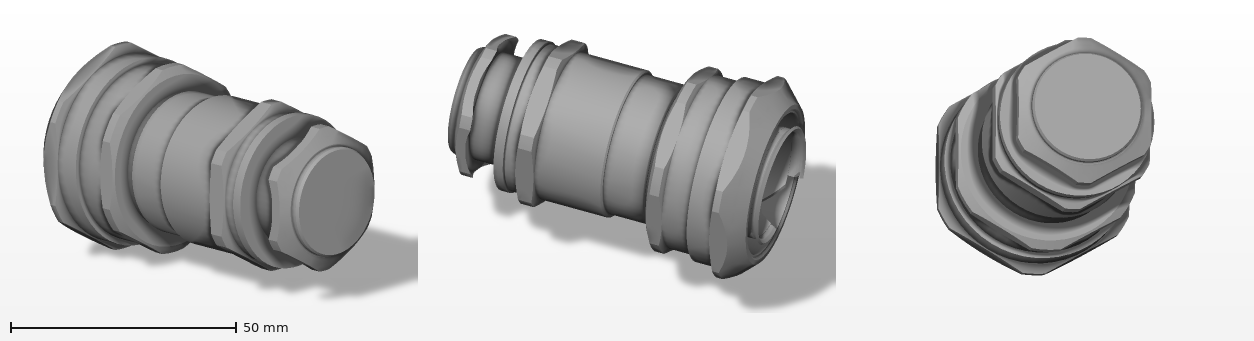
import cadquery as cq
import math


MOUTH_X = 2.4
MOUTH_RADIUS = 18.4
SEAL_NUT_FLATS = 43.0
SEAL_NUT_ACROSS_CORNERS = 47.0
SEAL_NUT_CORNER_RADIUS = SEAL_NUT_ACROSS_CORNERS / 2
SEAL_NUT_CORNER_START = 7.65
SEAL_NUT_CORNER_END = 9.2
SEAL_NUT_BACK = 9.9
SEAL_NUT_BACK_RADIUS = SEAL_NUT_FLATS / 2
COLLAR_RADIUS = 21.3
COLLAR_END = 15.4

SLEEVE_RADIUS = 20.0
SLEEVE_NUT_FLATS = 2 * SLEEVE_RADIUS
SLEEVE_NUT_CORNER_RADIUS = 21.4
SLEEVE_NUT_FRONT = 21.7
SLEEVE_NUT_CORNER_START = 22.5
SLEEVE_NUT_CORNER_END = 24.7
SLEEVE_NUT_BACK = 25.8
SLEEVE_NUT_BACK_RADIUS = 19.5

NECK_RADIUS = 15.45
FRONT_BARREL_START = 27.4
FRONT_BARREL_RADIUS = 16.05
REAR_BARREL_START = 37.2
REAR_BARREL_RADIUS = 16.95
BARREL_CHAMFER = 0.4

BARREL_NUT_FLATS = 34.8
BARREL_NUT_CORNER_RADIUS = 19.2
BARREL_NUT_FRONT = 53.15
BARREL_NUT_CORNER_START = 53.75
BARREL_NUT_CORNER_END = 56.9
BARREL_NUT_BACK = 57.8

FLANGE_START = 60.6
FLANGE_END = 62.8
FLANGE_RADIUS = 17.4
SPIGOT_RADIUS = 12.35
SPIGOT_CHAMFER_LENGTH = 0.7
SPIGOT_CHAMFER_DEPTH = 0.4
OVERALL_LENGTH = 75.7

LOCKNUT_FLATS = 30.0
LOCKNUT_CORNER_RADIUS = 16.5
LOCKNUT_CORNER_START = 69.2
LOCKNUT_CORNER_END = 71.85
LOCKNUT_BACK = 73.9
LOCKNUT_BACK_RADIUS = 12.8
LOCKNUT_RECESS_FLOOR = 70.3
LOCKNUT_RECESS_RADIUS = 15.15

POCKET_RADIUS = 16.9
POCKET_CHAMFER = 0.45
POCKET_FLOOR = 15.15
CORE_END_X = 12.0

FERRULE_BORE_RADIUS = 12.2
FERRULE_WALL_RADIUS = 12.9
FERRULE_RIM_X = MOUTH_X + POCKET_CHAMFER
FERRULE_RIM_INNER_RADIUS = 16.4
FERRULE_WALL_START = 3.3
GROOVE_RADIUS = (FERRULE_RIM_INNER_RADIUS - FERRULE_WALL_RADIUS) / 2
GROOVE_BOTTOM = 14.15

LIP_RADIUS = 13.8
LIP_EDGE_STEP = 0.45
LIP_OUTER_BEND_DEPTH = 1.05
LIP_OUTER_BEND_RADIUS = 13.1
LIP_OUTER_THROAT_DEPTH = 1.45
LIP_INNER_FLARE = 0.6
LIP_INNER_BEND_DEPTH = 1.1
LIP_INNER_BEND_RADIUS = 12.4
LIP_INNER_THROAT_DEPTH = 1.7
LIP_SKIRT = 4.55
LIP_SETBACK = 0.1
LIP_TURN = 302.0
LIP_ADVANCE = 1.9
LIP_TIP_ANGLE = 305.0

NOTCH_POINTS = [(0.75, 0.7), (3.3, 0.45), (6.3, -1.7), (7.4, -4.8), (0.75, -11.2)]
NOTCH_TOP = -6.05


def turned(outline):
    """Solid of revolution about X from closed (station, radius) points."""
    return cq.Workplane("XY").polyline(outline).close().revolve(360, (0, 0, 0), (1, 0, 0))


def hexagon_of(blank, flats):
    """Turned blank cut to a hexagon whose corners point along +Z and -Z."""
    across_corners = flats / math.cos(math.pi / 6)
    prism = cq.Workplane("YZ").polygon(6, across_corners).extrude(OVERALL_LENGTH)
    return blank.intersect(prism.rotate((0, 0, 0), (1, 0, 0), 90))


def sealing_nut():
    return hexagon_of(turned([
        (MOUTH_X, 0),
        (MOUTH_X, MOUTH_RADIUS),
        (SEAL_NUT_CORNER_START, SEAL_NUT_CORNER_RADIUS),
        (SEAL_NUT_CORNER_END, SEAL_NUT_CORNER_RADIUS),
        (SEAL_NUT_BACK, SEAL_NUT_BACK_RADIUS),
        (SEAL_NUT_BACK, 0),
    ]), SEAL_NUT_FLATS)


def sleeve_nut():
    return hexagon_of(turned([
        (SLEEVE_NUT_FRONT, 0),
        (SLEEVE_NUT_FRONT, SLEEVE_RADIUS),
        (SLEEVE_NUT_CORNER_START, SLEEVE_NUT_CORNER_RADIUS),
        (SLEEVE_NUT_CORNER_END, SLEEVE_NUT_CORNER_RADIUS),
        (SLEEVE_NUT_BACK, SLEEVE_NUT_BACK_RADIUS),
        (SLEEVE_NUT_BACK, 0),
    ]), SLEEVE_NUT_FLATS)


def barrel_nut():
    return hexagon_of(turned([
        (BARREL_NUT_FRONT, 0),
        (BARREL_NUT_FRONT, REAR_BARREL_RADIUS),
        (BARREL_NUT_CORNER_START, BARREL_NUT_CORNER_RADIUS),
        (BARREL_NUT_CORNER_END, BARREL_NUT_CORNER_RADIUS),
        (BARREL_NUT_BACK, REAR_BARREL_RADIUS),
        (BARREL_NUT_BACK, 0),
    ]), BARREL_NUT_FLATS)


def locknut():
    """Hexagon with a shallow flat-floored recess in its -X side, opening out to the corners."""
    return hexagon_of(turned([
        (LOCKNUT_RECESS_FLOOR, 0),
        (LOCKNUT_RECESS_FLOOR, LOCKNUT_RECESS_RADIUS),
        (LOCKNUT_CORNER_START, LOCKNUT_CORNER_RADIUS),
        (LOCKNUT_CORNER_END, LOCKNUT_CORNER_RADIUS),
        (LOCKNUT_BACK, LOCKNUT_BACK_RADIUS),
        (LOCKNUT_BACK, 0),
    ]), LOCKNUT_FLATS)


def round_core():
    """Collar, sleeve, barrel, flange and spigot as one stepped shaft."""
    return turned([
        (SEAL_NUT_CORNER_END, 0),
        (SEAL_NUT_CORNER_END, COLLAR_RADIUS),
        (COLLAR_END, COLLAR_RADIUS),
        (COLLAR_END, SLEEVE_RADIUS),
        (SLEEVE_NUT_CORNER_START, SLEEVE_RADIUS),
        (SLEEVE_NUT_CORNER_START, NECK_RADIUS),
        (FRONT_BARREL_START, NECK_RADIUS),
        (FRONT_BARREL_START, FRONT_BARREL_RADIUS - BARREL_CHAMFER),
        (FRONT_BARREL_START + BARREL_CHAMFER, FRONT_BARREL_RADIUS),
        (REAR_BARREL_START, FRONT_BARREL_RADIUS),
        (REAR_BARREL_START, REAR_BARREL_RADIUS - BARREL_CHAMFER),
        (REAR_BARREL_START + BARREL_CHAMFER, REAR_BARREL_RADIUS),
        (FLANGE_START - BARREL_CHAMFER, REAR_BARREL_RADIUS),
        (FLANGE_START, REAR_BARREL_RADIUS - BARREL_CHAMFER),
        (FLANGE_START, FLANGE_RADIUS),
        (FLANGE_END, FLANGE_RADIUS),
        (FLANGE_END, SPIGOT_RADIUS),
        (OVERALL_LENGTH - SPIGOT_CHAMFER_LENGTH, SPIGOT_RADIUS),
        (OVERALL_LENGTH, SPIGOT_RADIUS - SPIGOT_CHAMFER_DEPTH),
        (OVERALL_LENGTH, 0),
    ])


def ferrule_pocket():
    """Chamfered blind pocket in the mouth, with a core left standing that plugs the ferrule bore."""
    return turned([
        (MOUTH_X, 0),
        (MOUTH_X, POCKET_RADIUS + POCKET_CHAMFER),
        (FERRULE_RIM_X, POCKET_RADIUS),
        (POCKET_FLOOR, POCKET_RADIUS),
        (POCKET_FLOOR, FERRULE_BORE_RADIUS),
        (CORE_END_X, FERRULE_BORE_RADIUS),
        (CORE_END_X, 0),
    ])


def make_gland():
    gland = round_core()
    for nut in (sealing_nut(), sleeve_nut(), barrel_nut(), locknut()):
        gland = gland.union(nut)
    return gland.cut(ferrule_pocket())


def ferrule_cup():
    """Straight ferrule wall and outer rim, with a round-bottomed groove between them."""
    groove_centre_x = GROOVE_BOTTOM - GROOVE_RADIUS
    groove_centre_radius = FERRULE_WALL_RADIUS + GROOVE_RADIUS
    return (
        cq.Workplane("XY")
        .moveTo(FERRULE_WALL_START, FERRULE_BORE_RADIUS)
        .lineTo(FERRULE_WALL_START, FERRULE_WALL_RADIUS)
        .lineTo(groove_centre_x, FERRULE_WALL_RADIUS)
        .threePointArc(
            (GROOVE_BOTTOM, groove_centre_radius),
            (groove_centre_x, FERRULE_RIM_INNER_RADIUS),
        )
        .lineTo(FERRULE_RIM_X, FERRULE_RIM_INNER_RADIUS)
        .lineTo(FERRULE_RIM_X, POCKET_RADIUS)
        .lineTo(POCKET_FLOOR, POCKET_RADIUS)
        .lineTo(POCKET_FLOOR, FERRULE_BORE_RADIUS)
        .close()
        .revolve(360, (0, 0, 0), (1, 0, 0))
    )


def helical_lip():
    """Flared lip and the skirt below it, swept round a left-hand helix and turned onto the X axis."""
    edge_inner_radius = LIP_RADIUS - LIP_EDGE_STEP
    skirt_inner_radius = FERRULE_BORE_RADIUS + LIP_SETBACK
    skirt_outer_radius = FERRULE_WALL_RADIUS - LIP_SETBACK
    pitch = LIP_ADVANCE * 360 / LIP_TURN
    helix = cq.Wire.makeHelix(pitch, LIP_ADVANCE, FERRULE_WALL_RADIUS, lefthand=True)
    section = cq.Workplane("XZ").polyline([
        (edge_inner_radius, 0),
        (LIP_RADIUS, LIP_EDGE_STEP),
        (LIP_OUTER_BEND_RADIUS, LIP_OUTER_BEND_DEPTH),
        (skirt_outer_radius, LIP_OUTER_THROAT_DEPTH),
        (skirt_outer_radius, LIP_SKIRT),
        (skirt_inner_radius, LIP_SKIRT),
        (skirt_inner_radius, LIP_INNER_THROAT_DEPTH),
        (LIP_INNER_BEND_RADIUS, LIP_INNER_BEND_DEPTH),
        (edge_inner_radius - LIP_INNER_FLARE, LIP_INNER_FLARE),
    ]).close()
    lip = section.sweep(cq.Workplane(obj=helix), isFrenet=True)
    lip = lip.rotate((0, 0, 0), (0, 0, 1), LIP_TIP_ANGLE)
    return lip.rotate((0, 0, 0), (0, 1, 0), 90)


def lip_notch():
    """Opening between the ends of the lip, kept clear of the groove's outer side."""
    prism = (
        cq.Workplane("XY", origin=(0, 0, NOTCH_TOP))
        .polyline(NOTCH_POINTS)
        .close()
        .extrude(-POCKET_RADIUS)
    )
    wall_envelope = cq.Workplane("YZ").circle(LIP_RADIUS).extrude(GROOVE_BOTTOM)
    return prism.intersect(wall_envelope)


def make_ferrule():
    return ferrule_cup().union(helical_lip()).cut(lip_notch())


gland = make_gland()
ferrule = make_ferrule()

result = cq.Compound.makeCompound([gland.solids().val(), ferrule.solids().val()])